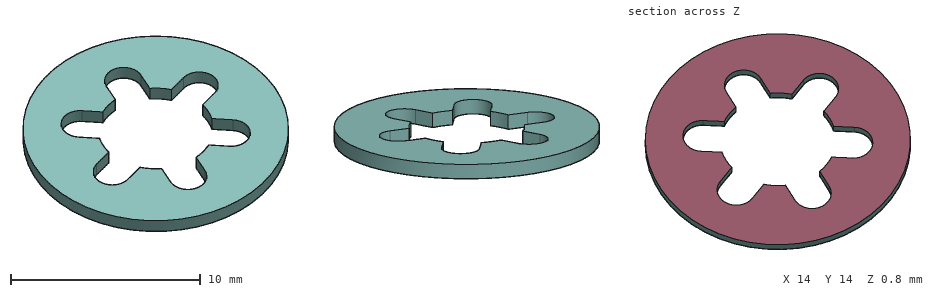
import cadquery as cq

outer_diameter = 14.0
thickness = 0.8
bore_diameter = 6.1
slot_count = 6
slot_width = 2.0
slot_tip_diameter = 10.0


def make_disc():
    return cq.Workplane("XY").circle(outer_diameter / 2).circle(bore_diameter / 2).extrude(thickness)


def make_slot_pair(angle):
    """Full-length slot through the centre, forming two opposite radial slots."""
    return cq.Workplane("XY").slot2D(slot_tip_diameter, slot_width, angle).extrude(thickness)


result = make_disc()
for index in range(slot_count // 2):
    result = result.cut(make_slot_pair(index * 360 / slot_count))